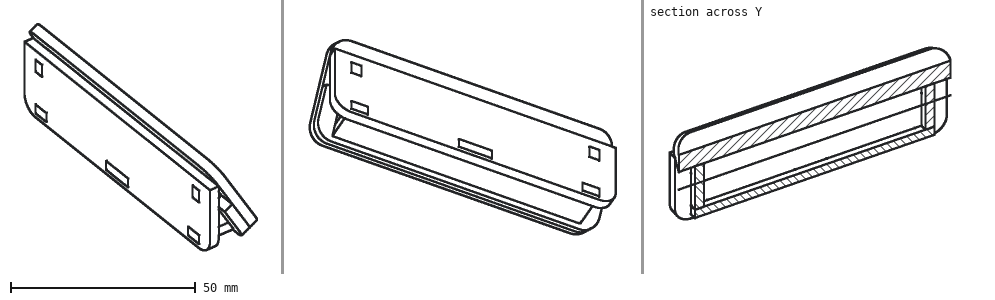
import cadquery as cq
import math

WIDTH = 85.0
SHEET = 3.0
CORNER_RADIUS = 5.0
TILT = 30.0
BACK_LENGTH = 30.0
STRIP_LENGTH = 15.0
SIDE_INSET = 5.0
FLOOR_BOTTOM = 1.4
GUSSET_TAB_HEIGHT = 4.0
GUSSET_TAB_DROP = 3.1
END_TAB_WIDTH = 5.0
MIDDLE_TAB_WIDTH = 10.0

sine = math.sin(math.radians(TILT))
cosine = math.cos(math.radians(TILT))
down_slope = cq.Vector(0, sine, -cosine)
across_sheet = cq.selectors.ParallelDirSelector(cq.Vector(0, cosine, sine))
slope_top_y = SHEET * cosine
slope_top_z = BACK_LENGTH * cosine + 2 * SHEET * sine

front_height = slope_top_z - SHEET * sine - SHEET * cosine / sine

strip_start = BACK_LENGTH - STRIP_LENGTH
floor_top = FLOOR_BOTTOM + SHEET
floor_width = WIDTH - 2 * SIDE_INSET
gusset_x = (floor_width - SHEET) / 2
gusset_tab_top = front_height - GUSSET_TAB_DROP
end_tab_x = (floor_width - END_TAB_WIDTH) / 2


def slope_point(distance, depth):
    """(Y, Z) at a distance down the slope and a depth in front of the back plate's rear face."""
    return (
        slope_top_y + distance * sine - depth * cosine,
        slope_top_z - distance * cosine - depth * sine,
    )


def strip_front_at(height):
    """(Y, Z) on the front face of the strip at a given height."""
    bottom_y, bottom_z = slope_point(BACK_LENGTH, 2 * SHEET)
    return (bottom_y - (height - bottom_z) * sine / cosine, height)


def extrude_profile(points, x_center, x_size):
    """Extrude a closed (Y, Z) outline along X, centred on x_center."""
    plane = cq.Workplane("YZ", origin=(x_center, 0, 0))
    return plane.polyline(points).close().extrude(x_size / 2, both=True)


def tab(x_center, x_size, bottom, top):
    """Block that fills a slot through the front plate."""
    outline = [(0, bottom), (SHEET, bottom), (SHEET, top), (0, top)]
    return extrude_profile(outline, x_center, x_size)


def make_gusset_tab(x_center):
    return tab(x_center, SHEET, gusset_tab_top - GUSSET_TAB_HEIGHT, gusset_tab_top)


def make_floor_tabs():
    tabs = tab(0, MIDDLE_TAB_WIDTH, FLOOR_BOTTOM, floor_top)
    for x_center in (-end_tab_x, end_tab_x):
        tabs = tabs.union(tab(x_center, END_TAB_WIDTH, FLOOR_BOTTOM, floor_top))
    return tabs


def make_sloped_sheet(start, end, rear_depth):
    """Full-width sheet between two distances down the slope, with square corners."""
    front_depth = rear_depth + SHEET
    outline = [
        slope_point(start, rear_depth),
        slope_point(end, rear_depth),
        slope_point(end, front_depth),
        slope_point(start, front_depth),
    ]
    return extrude_profile(outline, 0, WIDTH)


def make_back_plate():
    """Leaning plate with four rounded corners."""
    plate = make_sloped_sheet(0, BACK_LENGTH, 0)
    return plate.edges(across_sheet).fillet(CORNER_RADIUS)


def make_strip():
    """Strip on the lower front of the back plate, rounded at its two lower corners."""
    strip = make_sloped_sheet(strip_start, BACK_LENGTH, SHEET)
    lower_end = cq.selectors.DirectionMinMaxSelector(down_slope)
    return strip.faces(lower_end).edges(across_sheet).fillet(CORNER_RADIUS)


def make_front_plate():
    """Upright plate with rounded lower corners and a slot for every tab."""
    outline = [(0, 0), (SHEET, 0), (SHEET, front_height), (0, front_height)]
    plate = extrude_profile(outline, 0, WIDTH)
    plate = plate.faces("<Z").edges("|Y").fillet(CORNER_RADIUS)
    for x_center in (-gusset_x, gusset_x):
        plate = plate.cut(make_gusset_tab(x_center))
    return plate.cut(make_floor_tabs())


def make_floor():
    """Level sheet from the front plate to the strip, with three tabs."""
    outline = [
        (SHEET, FLOOR_BOTTOM),
        strip_front_at(FLOOR_BOTTOM),
        strip_front_at(floor_top),
        (SHEET, floor_top),
    ]
    return extrude_profile(outline, 0, floor_width).union(make_floor_tabs())


def make_gusset(x_center):
    """Upright web on the floor, notched around the strip, with one tab."""
    outline = [
        (SHEET, floor_top),
        strip_front_at(floor_top),
        slope_point(strip_start, 2 * SHEET),
        slope_point(strip_start, SHEET),
        (SHEET, front_height),
    ]
    return extrude_profile(outline, x_center, SHEET).union(make_gusset_tab(x_center))


back_plate = make_back_plate()
strip = make_strip()
front_plate = make_front_plate()
floor = make_floor()
gussets = [make_gusset(x_center) for x_center in (-gusset_x, gusset_x)]

result = cq.Compound.makeCompound([
    back_plate.val(),
    strip.val(),
    front_plate.val(),
    floor.val(),
    *[gusset.val() for gusset in gussets],
])